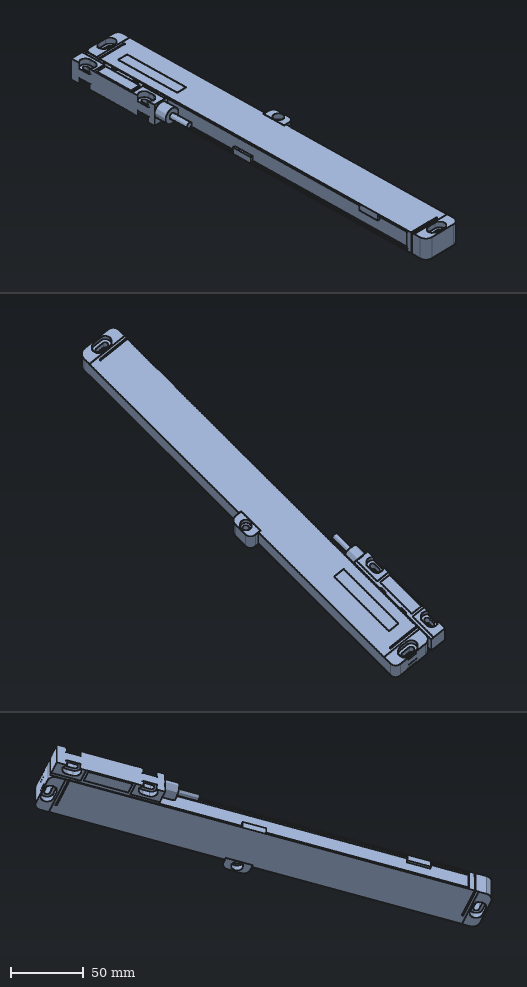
import cadquery as cq

length = 325.0
thickness = 18.0
corner_radius = 5.0
counterbore_depth = 5.0
face_step = 0.15

housing_front = 13.3
housing_back = 46.0
housing_mid_y = (housing_front + housing_back) / 2
right_corner_radius = 6.0

slit_start = 14.3
slit_width = 1.0
slit_back = 38.5
cap_length = 11.5

channel_margin = 18.2
channel_depth = 2.0
channel_lip = 2.0
lip_step = 1.0
lip_step_depth = 0.3

block_length = 17.2
block_height = 6.0
lower_block_x = 141.0
upper_block_x = 261.5

label_x = 24.0
label_y = 21.5
label_length = 56.2
label_width = 8.8

cap_slot_travel = 6.2
cap_slot_radius = 2.1
cap_bore_radius = 4.5
left_slot_x = 5.2
right_slot_x = length - 6.0

tab_mid_x = 150.0
tab_width = 19.8
tab_front = 44.2
tab_back = 54.0
tab_hole_y = 48.8
tab_hole_radius = 2.3
tab_bore_radius = 8.0 / 2

head_length = 79.3
head_depth = 13.0
head_mid_x = head_length / 2
pad_length = 21.5
pad_back = 10.7
panel_length = 32.5
panel_front = 1.0
panel_back = 9.8
first_head_slot_x = 12.5
head_slot_spacing = 56.0
head_slot_y = 3.5
head_slot_travel = 4.5
head_slot_radius = 2.0
head_bore_radius = 8.8 / 2
notch_spacing = 20.8
notch_length = 5.0
notch_depth = 1.0
notch_height = 1.5

cable_y = head_depth / 2
cable_z = 10.5
collar_radius = 12.7 / 2
collar_length = 10.5
cable_radius = 2.45
cable_length = 16.5


def box(x, y, z, dx, dy, dz):
    """Box from its lowest corner and its three sizes."""
    return cq.Workplane("XY").box(dx, dy, dz, centered=False).translate((x, y, z))


def stadium(x, y, z, travel, radius, height, angle):
    """Upright prism with a slot outline, its long axis turned by angle from X."""
    outline = cq.Workplane("XY").slot2D(travel + 2 * radius, 2 * radius, angle)
    return outline.extrude(height).translate((x, y, z))


def mounting_slot(x, y, travel, radius, bore_radius, angle):
    """Through slot with the same counterbore at the top and the bottom."""
    cutter = stadium(x, y, 0, travel, radius, thickness, angle)
    for z in (0, thickness - counterbore_depth):
        cutter = cutter.union(stadium(x, y, z, travel, bore_radius, counterbore_depth, angle))
    return cutter


def mirrored_pair(shape):
    """A shape together with its mirror image at the other housing end."""
    return shape.union(shape.mirror("YZ", (length / 2, 0, 0)))


def lower_extrusion(body):
    """Step the flat faces of the extrusion down below the end caps."""
    depth = housing_back - housing_front
    for z in (0, thickness - face_step):
        body = body.cut(box(cap_length, housing_front, z, length - 2 * cap_length, depth, face_step))
    return body


def cut_end_slits(body):
    """Slit through the full height at each end of the extrusion."""
    slit = box(slit_start - slit_width, housing_front, 0,
               slit_width, slit_back - housing_front, thickness)
    return body.cut(mirrored_pair(slit))


def cut_front_channel(body):
    """Channel along the front wall, its lips stepped back from the front face."""
    channel_length = length - 2 * channel_margin
    for edge, depth in ((lip_step, lip_step_depth), (channel_lip, channel_depth)):
        body = body.cut(box(channel_margin, housing_front, edge,
                            channel_length, depth, thickness - 2 * edge))
    for x, z in ((lower_block_x, 0), (upper_block_x, thickness - block_height)):
        body = body.union(box(x, housing_front, z, block_length, channel_depth, block_height))
    return body


def add_tab(body):
    """Rear mounting tab of full height, reaching slightly into the extrusion."""
    tab = box(tab_mid_x - tab_width / 2, tab_front, 0,
              tab_width, tab_back - tab_front, thickness)
    tab = tab.edges("|Z and >Y").fillet(corner_radius)
    hole = cq.Workplane("XY").circle(tab_hole_radius).extrude(thickness)
    for z in (0, thickness - counterbore_depth):
        bore = cq.Workplane("XY", (0, 0, z)).circle(tab_bore_radius).extrude(counterbore_depth)
        hole = hole.union(bore)
    return body.union(tab).cut(hole.translate((tab_mid_x, tab_hole_y, 0)))


def make_housing():
    """Long scale housing with end caps, front channel and rear tab."""
    body = box(0, housing_front, 0, length, housing_back - housing_front, thickness)
    body = body.edges("|Z and <X").fillet(corner_radius)
    body = body.edges("|Z and >X").fillet(right_corner_radius)
    body = cut_front_channel(body)
    body = cut_end_slits(lower_extrusion(body))
    for x in (left_slot_x, right_slot_x):
        body = body.cut(mounting_slot(x, housing_mid_y, cap_slot_travel,
                                      cap_slot_radius, cap_bore_radius, 90))
    body = body.cut(box(label_x, label_y, thickness - 2 * face_step,
                        label_length, label_width, face_step))
    return add_tab(body)


def make_reading_head():
    """Reading head: core with raised pads and panel, mounting slots and cable outlet."""
    body = box(0, 0, face_step, head_length, head_depth, thickness - 2 * face_step)
    for x in (0, head_length - pad_length):
        body = body.union(box(x, 0, 0, pad_length, pad_back, thickness))
    body = body.union(box(head_mid_x - panel_length / 2, panel_front, 0,
                          panel_length, panel_back - panel_front, thickness))
    for side in (-1, 1):
        notch_x = head_mid_x + side * notch_spacing / 2
        body = body.cut(box(notch_x - notch_length / 2, head_depth - notch_depth,
                            thickness - notch_height,
                            notch_length, notch_depth, notch_height))
    for x in (first_head_slot_x, first_head_slot_x + head_slot_spacing):
        body = body.cut(mounting_slot(x, head_slot_y, head_slot_travel,
                                      head_slot_radius, head_bore_radius, 0))
    outlet = cq.Workplane("YZ", (head_length, 0, 0)).center(cable_y, cable_z)
    collar = outlet.circle(collar_radius).extrude(collar_length)
    cable = outlet.circle(cable_radius).extrude(collar_length + cable_length)
    return body.union(collar).union(cable)


housing = make_housing()
reading_head = make_reading_head()
result = cq.Compound.makeCompound([housing.val(), reading_head.val()])